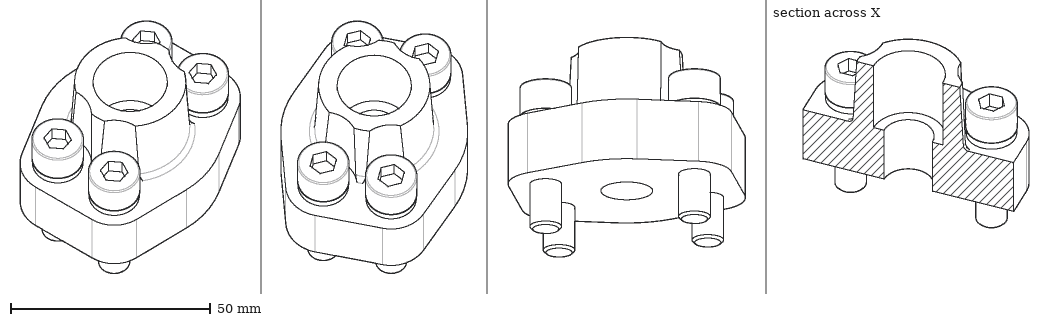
import cadquery as cq
import math

plate_length = 57.0
plate_width = 47.0
plate_thickness = 15.95

bolt_spacing_x = 17.5
bolt_spacing_y = 38.1
bolt_x = bolt_spacing_x / 2
bolt_y = bolt_spacing_y / 2
bolt_points = [(sx * bolt_x, sy * bolt_y) for sx in (-1, 1) for sy in (-1, 1)]

hub_height = 20.0
hub_top_diameter = 28.0
hub_taper_angle = 3.0
hub_foot_fillet = 1.3
scallop_diameter = 17.0

bore_diameter = 13.0
socket_diameter = 18.65
socket_depth = hub_height

washer_diameter = 12.7
washer_thickness = 2.0
head_diameter = 13.0
head_height = 8.0
head_edge_fillet = 0.35
hex_across_flats = 6.0
hex_depth = 4.0
shank_diameter = 8.0
shank_projection = 12.0
shank_end_chamfer = 0.7


def make_plate():
    """Corner arcs centred on the bolts and side arcs on the bore, joined by common tangents."""
    side_radius = plate_width / 2
    corner_radius = plate_length / 2 - bolt_y
    centre_distance = math.hypot(bolt_x, bolt_y)
    centre_angle = math.atan2(bolt_y, bolt_x)
    tangent_angle = centre_angle - math.acos((side_radius - corner_radius) / centre_distance)
    corner_mid_angle = (tangent_angle + math.pi / 2) / 2

    side_x = side_radius * math.cos(tangent_angle)
    side_y = side_radius * math.sin(tangent_angle)
    corner_x = bolt_x + corner_radius * math.cos(tangent_angle)
    corner_y = bolt_y + corner_radius * math.sin(tangent_angle)
    corner_mid_x = bolt_x + corner_radius * math.cos(corner_mid_angle)
    corner_mid_y = bolt_y + corner_radius * math.sin(corner_mid_angle)
    end_y = plate_length / 2

    return (
        cq.Workplane("XY")
        .moveTo(side_x, -side_y)
        .threePointArc((side_radius, 0), (side_x, side_y))
        .lineTo(corner_x, corner_y)
        .threePointArc((corner_mid_x, corner_mid_y), (bolt_x, end_y))
        .lineTo(-bolt_x, end_y)
        .threePointArc((-corner_mid_x, corner_mid_y), (-corner_x, corner_y))
        .lineTo(-side_x, side_y)
        .threePointArc((-side_radius, 0), (-side_x, -side_y))
        .lineTo(-corner_x, -corner_y)
        .threePointArc((-corner_mid_x, -corner_mid_y), (-bolt_x, -end_y))
        .lineTo(bolt_x, -end_y)
        .threePointArc((corner_mid_x, -corner_mid_y), (corner_x, -corner_y))
        .close()
        .extrude(plate_thickness)
    )


def make_hub():
    """Tapered neck on the plate, with a concave fillet tangent to the neck and to the plate."""
    taper = math.radians(hub_taper_angle)
    top_radius = hub_top_diameter / 2
    fillet_x = (
        top_radius
        + (hub_height - hub_foot_fillet) * math.tan(taper)
        + hub_foot_fillet / math.cos(taper)
    )
    fillet_z = plate_thickness + hub_foot_fillet
    neck_angle = math.pi + taper
    plate_angle = 3 * math.pi / 2

    def fillet_point(angle):
        return (
            fillet_x + hub_foot_fillet * math.cos(angle),
            fillet_z + hub_foot_fillet * math.sin(angle),
        )

    return (
        cq.Workplane("XZ")
        .moveTo(0, plate_thickness)
        .lineTo(0, plate_thickness + hub_height)
        .lineTo(top_radius, plate_thickness + hub_height)
        .lineTo(*fillet_point(neck_angle))
        .threePointArc(fillet_point((neck_angle + plate_angle) / 2), fillet_point(plate_angle))
        .close()
        .revolve(360, (0, 0, 0), (0, 1, 0))
    )


def make_scallops():
    """Round reliefs in the hub that clear the bolt heads."""
    return (
        cq.Workplane("XY", origin=(0, 0, plate_thickness))
        .pushPoints(bolt_points)
        .circle(scallop_diameter / 2)
        .extrude(hub_height)
    )


def make_bores():
    """Through bore with a wider socket from the top of the hub."""
    hub_top = plate_thickness + hub_height
    bore = cq.Workplane("XY").circle(bore_diameter / 2).extrude(hub_top)
    socket = (
        cq.Workplane("XY", origin=(0, 0, hub_top))
        .circle(socket_diameter / 2)
        .extrude(-socket_depth)
    )
    return bore.union(socket)


def make_bolt():
    """Bolt and washer on the Z axis, with the washer resting on the plate."""
    shank_length = plate_thickness + shank_projection
    shank = (
        cq.Workplane("XY", origin=(0, 0, -shank_projection))
        .circle(shank_diameter / 2)
        .extrude(shank_length)
        .faces("<Z")
        .chamfer(shank_end_chamfer)
    )
    washer = (
        cq.Workplane("XY", origin=(0, 0, plate_thickness))
        .circle(washer_diameter / 2)
        .extrude(washer_thickness)
    )
    hex_across_corners = hex_across_flats / math.cos(math.pi / 6)
    head = (
        cq.Workplane("XY", origin=(0, 0, plate_thickness + washer_thickness))
        .circle(head_diameter / 2)
        .extrude(head_height)
        .faces(">Z")
        .edges()
        .fillet(head_edge_fillet)
        .faces(">Z")
        .workplane()
        .transformed(rotate=(0, 0, 90))
        .polygon(6, hex_across_corners)
        .cutBlind(-hex_depth)
    )
    return shank.union(washer).union(head)


hub = make_hub().cut(make_scallops())
result = make_plate().union(hub).cut(make_bores())
bolt = make_bolt()
for x, y in bolt_points:
    result = result.union(bolt.translate((x, y, 0)))